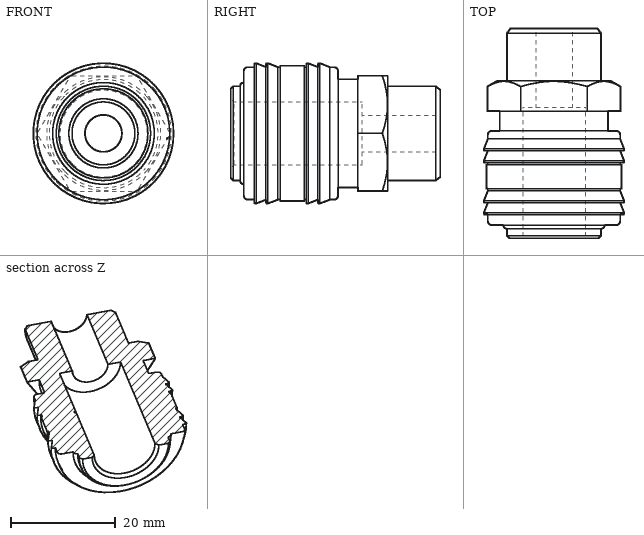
import cadquery as cq
import math

LENGTH = 40.0

NOSE_RADIUS = 9.0
NOSE_CHAMFER = 0.5

SLEEVE_START = 2.5
SLEEVE_LENGTH = 18.0
SLEEVE_END = SLEEVE_START + SLEEVE_LENGTH
SLEEVE_RADIUS = 12.65
SLEEVE_ROUND = 0.8

COLLAR_ROUND = 0.7

RIDGE_RADIUS = 13.4
RIDGE_PITCH = 2.25
RIDGE_SLOPE_ANGLE = 21.5
RIDGE_EDGE_ROUND = 0.25
RIDGE_LAND = 0.13
RIDGES_PER_GROUP = 2
FRONT_RIDGES_START = 4.5
REAR_RIDGES_START = 14.4

BAND_RADIUS = 12.9
BAND_START = 9.45
BAND_LENGTH = 4.6

NECK_RADIUS = 10.35
HEX_ACROSS_FLATS = 22.0
HEX_SIDES = 6
HEX_LENGTH = 5.75
HEX_CHAMFER_RADIUS = 10.85
HEX_CHAMFER_ANGLE = 30.0

SPIGOT_RADIUS = 9.0
SPIGOT_LENGTH = 10.0
SPIGOT_CHAMFER_LENGTH = 0.9
SPIGOT_CHAMFER_DEPTH = 0.7
HEX_END = LENGTH - SPIGOT_LENGTH
HEX_START = HEX_END - HEX_LENGTH

SOCKET_BORE_RADIUS = 6.0
SOCKET_BORE_DEPTH = 25.0
SOCKET_CHAMFER_DEPTH = 0.6
SOCKET_CHAMFER_LENGTH = 0.6
PASSAGE_RADIUS = 3.5


def cross_section_plane(station):
    """Plane across the axis at a station, with its normal towards the thread (+Y)."""
    return cq.Plane(origin=(0, station, 0), xDir=(1, 0, 0), normal=(0, 1, 0))


def cylinder(radius, start, end):
    return cq.Workplane(cross_section_plane(start)).circle(radius).extrude(end - start)


def revolve_about_axis(profile):
    """Turn a closed profile, drawn as (radius, station), about the part axis."""
    return profile.close().revolve(360, (0, 0, 0), (0, 1, 0))


def make_nose():
    nose = cylinder(NOSE_RADIUS, 0, SLEEVE_START)
    return nose.faces("<Y").chamfer(NOSE_CHAMFER)


def make_collar():
    """Quarter-round ring that rises off the nose and meets the sleeve face."""
    collar_start = SLEEVE_START - COLLAR_ROUND
    arc_offset = COLLAR_ROUND * math.sqrt(0.5)
    return revolve_about_axis(
        cq.Workplane("XY")
        .moveTo(0, collar_start)
        .lineTo(NOSE_RADIUS, collar_start)
        .threePointArc(
            (NOSE_RADIUS + arc_offset, SLEEVE_START - arc_offset),
            (NOSE_RADIUS + COLLAR_ROUND, SLEEVE_START),
        )
        .lineTo(0, SLEEVE_START)
    )


def make_ridge(start):
    """Ridge with a steep front face, a rounded front edge, a narrow land and a sloping back."""
    arc_radius = RIDGE_RADIUS - RIDGE_EDGE_ROUND
    land_start = start + RIDGE_EDGE_ROUND
    land_end = land_start + RIDGE_LAND
    slope = math.tan(math.radians(RIDGE_SLOPE_ANGLE))
    foot_station = land_end + (RIDGE_RADIUS - SLEEVE_RADIUS) / slope
    arc_offset = RIDGE_EDGE_ROUND * math.sqrt(0.5)
    return revolve_about_axis(
        cq.Workplane("XY")
        .moveTo(0, start)
        .lineTo(arc_radius, start)
        .threePointArc(
            (arc_radius + arc_offset, land_start - arc_offset),
            (RIDGE_RADIUS, land_start),
        )
        .lineTo(RIDGE_RADIUS, land_end)
        .lineTo(SLEEVE_RADIUS, foot_station)
        .lineTo(0, foot_station)
    )


def make_sleeve():
    sleeve = cylinder(SLEEVE_RADIUS, SLEEVE_START, SLEEVE_END)
    sleeve = sleeve.faces("<Y or >Y").edges().fillet(SLEEVE_ROUND)
    sleeve = sleeve.union(cylinder(BAND_RADIUS, BAND_START, BAND_START + BAND_LENGTH))
    for group_start in (FRONT_RIDGES_START, REAR_RIDGES_START):
        for index in range(RIDGES_PER_GROUP):
            sleeve = sleeve.union(make_ridge(group_start + index * RIDGE_PITCH))
    return sleeve


def make_hexagon():
    """Hexagon with corners on the X axis, its thread-side corners turned to a cone."""
    corner_radius = HEX_ACROSS_FLATS / 2 / math.cos(math.pi / HEX_SIDES)
    hexagon = (
        cq.Workplane(cross_section_plane(HEX_START))
        .polygon(HEX_SIDES, 2 * corner_radius)
        .extrude(HEX_LENGTH)
    )
    cone_slope = math.tan(math.radians(HEX_CHAMFER_ANGLE))
    cone_base_radius = HEX_CHAMFER_RADIUS + HEX_LENGTH / cone_slope
    chamfer_cone = revolve_about_axis(
        cq.Workplane("XY")
        .moveTo(0, HEX_START)
        .lineTo(cone_base_radius, HEX_START)
        .lineTo(HEX_CHAMFER_RADIUS, HEX_END)
        .lineTo(0, HEX_END)
    )
    return hexagon.intersect(chamfer_cone)


def make_spigot():
    spigot = cylinder(SPIGOT_RADIUS, HEX_END, LENGTH)
    return spigot.faces(">Y").chamfer(SPIGOT_CHAMFER_LENGTH, SPIGOT_CHAMFER_DEPTH)


def make_bore():
    return revolve_about_axis(
        cq.Workplane("XY")
        .moveTo(0, 0)
        .lineTo(SOCKET_BORE_RADIUS + SOCKET_CHAMFER_DEPTH, 0)
        .lineTo(SOCKET_BORE_RADIUS, SOCKET_CHAMFER_LENGTH)
        .lineTo(SOCKET_BORE_RADIUS, SOCKET_BORE_DEPTH)
        .lineTo(PASSAGE_RADIUS, SOCKET_BORE_DEPTH)
        .lineTo(PASSAGE_RADIUS, LENGTH)
        .lineTo(0, LENGTH)
    )


body = make_nose().union(make_collar())
body = body.union(make_sleeve())
body = body.union(cylinder(NECK_RADIUS, SLEEVE_END, HEX_START))
body = body.union(make_hexagon())
body = body.union(make_spigot())
result = body.cut(make_bore())